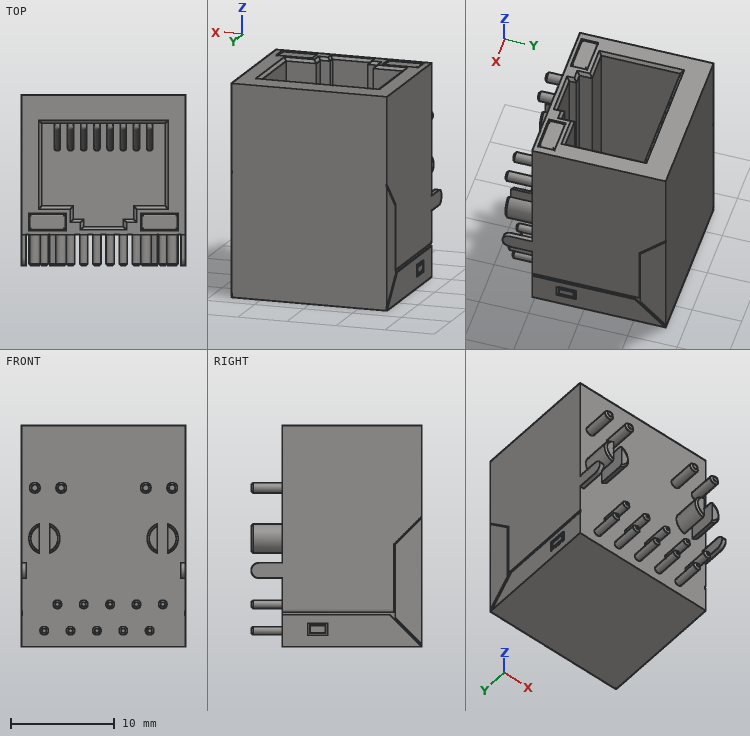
import cadquery as cq
import math


WIDTH = 15.88
HEIGHT = 13.5
LENGTH = 21.4
HALF_WIDTH = WIDTH / 2

PIN_PITCH = 2.55

CAVITY_HALF_WIDTH = 5.97
CAVITY_ROOF = 10.75
CAVITY_FLOOR_Z = 5.78
SHOULDER_Y = 2.75
LATCH_HALF_WIDTH = 2.9
LATCH_Y = 1.48
KEY_HALF_WIDTH = 1.93
KEY_Y = 0.75
MOUTH_BEVEL = 0.3

CONTACT_COUNT = 8
CONTACT_PITCH = PIN_PITCH / 2
CONTACT_DIAMETER = 0.6
CONTACT_ELBOW_Y = 10.45
CONTACT_ELBOW_Z = 18.72
CONTACT_TILT = 9.0
CONTACT_ROOT_DEPTH = 0.43

LIGHT_WIDTH = 3.64
LIGHT_HEIGHT = 1.7
LIGHT_DEPTH = 2.15
LIGHT_CENTER_X = 5.41
LIGHT_CENTER_Y = 1.22
LIGHT_GAP = 0.09
LIGHT_ROUNDING = 0.17

STANDOFF = 3.0
STUD_BEVEL = 0.2
ROOT_OVERLAP = 0.21

LED_PIN_DIAMETER = 1.0
LED_PIN_Z = 15.37
LED_PIN_INNER_X = 4.09

SIGNAL_PIN_DIAMETER = 0.81
SIGNAL_PIN_COUNT = 5
SIGNAL_ROW_Z = 1.56
SIGNAL_ROW_SHIFT = PIN_PITCH / 4

PEG_DIAMETER = 3.0
PEG_X = 5.71
PEG_Z = 10.46
PEG_SLOT = 1.0

TAB_WIDTH = 1.5
TAB_THICKNESS = 0.47
TAB_Z = 7.38

SEAM_DEPTH = 0.09
SEAM_GAP = 0.1
MITRE_GAP = 0.24
REAR_FLAP_Y = 10.91
REAR_FLAP_TOP = 12.5
LOWER_FLAP_TOP = 3.1
BEND_BOTTOM = 3.35
BEND_TOP = 3.64

SNAP_Y = 3.45
SNAP_Z = 1.71
SNAP_LENGTH = 1.97
SNAP_HEIGHT = 1.15
SNAP_DEPTH = 0.1
BUMP_LENGTH = 1.58
BUMP_HEIGHT = 0.83
BUMP_DRAFT = 35.0
SNAP_ROUNDING = 0.1


def mirrored(solid):
    """The solid and its mirror image across the YZ plane."""
    return solid.union(solid.mirror("YZ"))


def stud(diameter, x, z):
    """Round stud that stands below the board face, with a bevelled tip."""
    return (
        cq.Workplane("XZ", origin=(x, ROOT_OVERLAP, z))
        .circle(diameter / 2)
        .extrude(STANDOFF + ROOT_OVERLAP)
        .faces("<Y")
        .chamfer(STUD_BEVEL)
    )


def cut_cavity(block):
    """Cut the stepped plug cavity into the block and bevel the edges of its mouth."""
    right_half = [
        (CAVITY_HALF_WIDTH, CAVITY_ROOF),
        (CAVITY_HALF_WIDTH, SHOULDER_Y),
        (LATCH_HALF_WIDTH, SHOULDER_Y),
        (LATCH_HALF_WIDTH, LATCH_Y),
        (KEY_HALF_WIDTH, LATCH_Y),
        (KEY_HALF_WIDTH, KEY_Y),
    ]
    left_half = [(-x, y) for x, y in reversed(right_half)]
    well = (
        cq.Workplane("XY", origin=(0, 0, CAVITY_FLOOR_Z))
        .polyline(right_half + left_half)
        .close()
        .extrude(LENGTH - CAVITY_FLOOR_Z)
    )
    hollowed = block.cut(well)
    mouth = hollowed.faces(">Z").val().innerWires()[0]
    return hollowed.newObject(mouth.Edges()).chamfer(MOUTH_BEVEL)


def light_block(side, clearance):
    """Block for one light window, smaller than the window by the clearance on each edge."""
    return (
        cq.Workplane("XY", origin=(side * LIGHT_CENTER_X, LIGHT_CENTER_Y, LENGTH - LIGHT_DEPTH))
        .rect(LIGHT_WIDTH - 2 * clearance, LIGHT_HEIGHT - 2 * clearance)
        .extrude(LIGHT_DEPTH)
    )


def light_pipe(side):
    """Light pipe on the floor of its window, with the edges of its face rounded."""
    return light_block(side, LIGHT_GAP).faces(">Z").edges().fillet(LIGHT_ROUNDING)


def contact(x):
    """Round wire that leaves the cavity roof, turns at a ball elbow and leans down to the cavity floor."""
    radius = CONTACT_DIAMETER / 2
    tilt = math.radians(CONTACT_TILT)
    length = (CONTACT_ELBOW_Z - CAVITY_FLOOR_Z + CONTACT_ROOT_DEPTH) / math.cos(tilt)
    elbow = cq.Vector(x, CONTACT_ELBOW_Y, CONTACT_ELBOW_Z)
    down_axis = cq.Vector(0, -math.sin(tilt), -math.cos(tilt))
    leg = cq.Solid.makeCylinder(radius, length, elbow, down_axis)
    stub_length = CAVITY_ROOF + CONTACT_ROOT_DEPTH - CONTACT_ELBOW_Y
    stub = cq.Solid.makeCylinder(radius, stub_length, elbow, cq.Vector(0, 1, 0))
    ball = cq.Workplane("XY").sphere(radius).translate(elbow)
    return ball.union(cq.Workplane(leg)).union(cq.Workplane(stub))


def contacts():
    """Row of spring contacts centred in the cavity."""
    row = cq.Workplane("XY")
    for index in range(CONTACT_COUNT):
        row = row.add(contact((index - (CONTACT_COUNT - 1) / 2) * CONTACT_PITCH))
    return row


def studs():
    """Light pins in two outer pairs, and signal pins in two staggered rows."""
    group = cq.Workplane("XY")
    for side in (-1, 1):
        for x in (LED_PIN_INNER_X, LED_PIN_INNER_X + PIN_PITCH):
            group = group.add(stud(LED_PIN_DIAMETER, side * x, LED_PIN_Z))
        row_z = SIGNAL_ROW_Z + (PIN_PITCH if side > 0 else 0)
        for index in range(SIGNAL_PIN_COUNT):
            x = side * SIGNAL_ROW_SHIFT + (index - (SIGNAL_PIN_COUNT - 1) / 2) * PIN_PITCH
            group = group.add(stud(SIGNAL_PIN_DIAMETER, x, row_z))
    return group


def peg():
    """Split board peg on the +X side."""
    slot = cq.Workplane("XY").box(PEG_SLOT, STANDOFF, PEG_DIAMETER).translate((PEG_X, -STANDOFF / 2, PEG_Z))
    return stud(PEG_DIAMETER, PEG_X, PEG_Z).cut(slot)


def tab():
    """Round-ended grounding tab, flush with the +X wall."""
    radius = TAB_WIDTH / 2
    return (
        cq.Workplane("YZ", origin=(HALF_WIDTH - TAB_THICKNESS, 0, TAB_Z))
        .moveTo(ROOT_OVERLAP, radius)
        .lineTo(radius - STANDOFF, radius)
        .threePointArc((-STANDOFF, 0), (radius - STANDOFF, -radius))
        .lineTo(ROOT_OVERLAP, -radius)
        .close()
        .extrude(TAB_THICKNESS)
    )


def seams():
    """Shallow channels around the flaps of the +X wall."""
    floor_x = HALF_WIDTH - SEAM_DEPTH
    panel_y = REAR_FLAP_Y - SEAM_GAP
    flap_drop = HEIGHT - REAR_FLAP_Y

    recess = (
        cq.Workplane("YZ", origin=(floor_x, 0, 0))
        .polyline([
            (0, 0),
            (HEIGHT, 0),
            (HEIGHT, REAR_FLAP_TOP + SEAM_GAP),
            (panel_y, REAR_FLAP_TOP - flap_drop),
            (panel_y, BEND_BOTTOM),
            (0, BEND_BOTTOM),
        ])
        .close()
        .extrude(SEAM_DEPTH)
    )
    rear_flap = (
        cq.Workplane("YZ", origin=(floor_x, 0, 0))
        .polyline([
            (HEIGHT, MITRE_GAP),
            (HEIGHT, REAR_FLAP_TOP),
            (REAR_FLAP_Y, REAR_FLAP_TOP - flap_drop),
            (REAR_FLAP_Y, flap_drop + MITRE_GAP),
        ])
        .close()
        .extrude(SEAM_DEPTH)
    )
    lower_flap = (
        cq.Workplane("YZ", origin=(floor_x, 0, 0))
        .polyline([(0, 0), (HEIGHT, 0), (HEIGHT - LOWER_FLAP_TOP, LOWER_FLAP_TOP), (0, LOWER_FLAP_TOP)])
        .close()
        .extrude(SEAM_DEPTH)
    )
    bend_drop = BEND_TOP - BEND_BOTTOM
    bend_radius = (bend_drop**2 + SEAM_DEPTH**2) / (2 * SEAM_DEPTH)
    bend = (
        cq.Workplane("XZ", origin=(0, panel_y, 0))
        .moveTo(HALF_WIDTH, BEND_TOP)
        .radiusArc((floor_x, BEND_BOTTOM), bend_radius)
        .lineTo(HALF_WIDTH, BEND_BOTTOM)
        .close()
        .extrude(panel_y)
    )
    return recess.cut(rear_flap).cut(lower_flap).union(bend)


def snap_recess():
    """Shallow window on the +X wall around a tapered bump."""
    floor = cq.Workplane("YZ", origin=(HALF_WIDTH - SNAP_DEPTH, SNAP_Y, SNAP_Z))
    bump = floor.rect(BUMP_LENGTH, BUMP_HEIGHT).extrude(SNAP_DEPTH, taper=BUMP_DRAFT)
    window = floor.rect(SNAP_LENGTH, SNAP_HEIGHT).extrude(SNAP_DEPTH)
    return window.faces(">Z").edges("|X").fillet(SNAP_ROUNDING).cut(bump)


def build_housing():
    body = cq.Workplane("XY").box(WIDTH, HEIGHT, LENGTH, centered=(True, False, False))
    body = cut_cavity(body)
    for side in (-1, 1):
        body = body.cut(light_block(side, 0))
    for rod in contacts().vals() + studs().vals():
        body = body.union(cq.Workplane(rod))
    body = body.union(mirrored(peg())).union(mirrored(tab()))
    return body.cut(mirrored(seams())).cut(mirrored(snap_recess()))


housing = build_housing()
light_pipes = [light_pipe(side) for side in (-1, 1)]
result = cq.Compound.makeCompound([housing.val(), *[pipe.val() for pipe in light_pipes]])